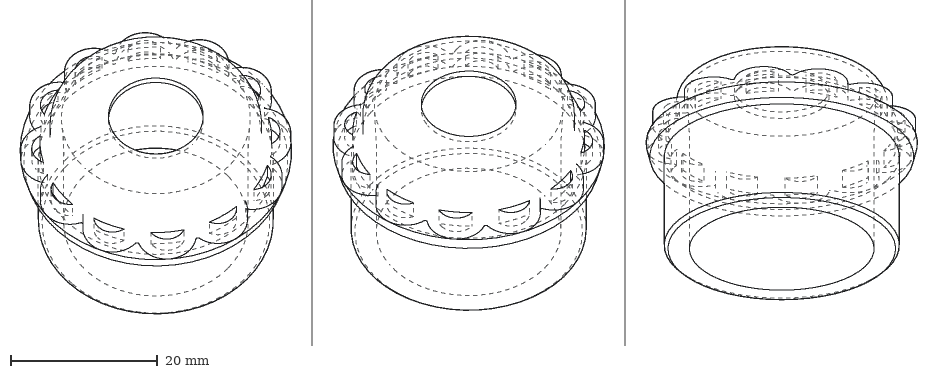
import cadquery as cq
import math

height = 24.5
flange_bottom_z = 14.0
flange_top_z = 16.1
ring_top_z = 18.65

sleeve_radius = 32.0 / 2
flange_bottom_radius = 17.95
flange_top_radius = 18.48
cap_radius = 28.8 / 2
hole_radius = 12.9 / 2

sleeve_chamfer = 0.5
cap_foot_fillet = 0.5
cap_round = 2.5
lobe_round = 0.25
notch_fillet = 0.3

dish_angle = math.radians(4.6)

lobe_count = 12
lobe_pitch = 360 / lobe_count
ring_height = ring_top_z - flange_top_z
lobe_centre_radius = 14.4
lobe_radius = 4.03
pocket_radius = 2.55
pocket_inner_radius = 15.78

cavity_radius = 12.55
cavity_straight_z = 17.15
flare_radius = 12.85
cap_wall = 1.0


def polar(radius, angle):
    return radius * math.cos(angle), radius * math.sin(angle)


def make_body():
    """Revolve the sleeve, the tapered flange and the rounded, dished cap."""
    round_centre = (cap_radius - cap_round, height - cap_round)

    def on_round(angle):
        along, up = polar(cap_round, angle)
        return round_centre[0] + along, round_centre[1] + up

    dish_start_angle = math.pi / 2 + dish_angle
    dish_start = on_round(dish_start_angle)
    hole_rim_z = dish_start[1] - (dish_start[0] - hole_radius) * math.tan(dish_angle)
    hole_foot_z = hole_rim_z - cap_wall

    cavity_top_z = hole_foot_z + (flare_radius - hole_radius) * math.tan(dish_angle)

    foot_inset = cap_foot_fillet * (1 - math.sqrt(0.5))
    foot_mid = (cap_radius + foot_inset, ring_top_z + foot_inset)
    return (
        cq.Workplane("XZ")
        .moveTo(cavity_radius, 0)
        .lineTo(sleeve_radius - sleeve_chamfer, 0)
        .lineTo(sleeve_radius, sleeve_chamfer)
        .lineTo(sleeve_radius, flange_bottom_z)
        .lineTo(flange_bottom_radius, flange_bottom_z)
        .lineTo(flange_top_radius, flange_top_z)
        .lineTo(cap_radius + cap_foot_fillet, flange_top_z)
        .lineTo(cap_radius + cap_foot_fillet, ring_top_z)
        .threePointArc(foot_mid, (cap_radius, ring_top_z + cap_foot_fillet))
        .lineTo(cap_radius, height - cap_round)
        .threePointArc(on_round(dish_start_angle / 2), dish_start)
        .lineTo(hole_radius, hole_rim_z)
        .lineTo(hole_radius, hole_foot_z)
        .lineTo(flare_radius, cavity_top_z)
        .lineTo(cavity_radius, cavity_straight_z)
        .close()
        .revolve(360, (0, 0, 0), (0, 1, 0))
    )


def on_flange():
    """Workplane on the upper face of the flange."""
    return cq.Workplane("XY", origin=(0, 0, flange_top_z))


def make_scalloped_ring():
    """Trace lobe arcs joined by notch fillets, round the top edge and sink the pockets."""
    half_pitch = math.radians(lobe_pitch / 2)
    lobe_x, lobe_y = polar(lobe_centre_radius, half_pitch)
    centre_gap = lobe_radius + notch_fillet
    notch_centre_radius = lobe_x + math.sqrt(centre_gap**2 - lobe_y**2)
    notch_bottom_radius = notch_centre_radius - notch_fillet
    share = notch_fillet / centre_gap
    touch_x = notch_centre_radius + share * (lobe_x - notch_centre_radius)
    touch_y = share * lobe_y
    touch_radius = math.hypot(touch_x, touch_y)
    touch_angle = math.atan2(touch_y, touch_x)

    outline = on_flange().moveTo(*polar(touch_radius, -touch_angle))
    for index in range(lobe_count):
        notch = index * 2 * half_pitch
        next_notch = notch + 2 * half_pitch
        outline = outline.threePointArc(
            polar(notch_bottom_radius, notch), polar(touch_radius, notch + touch_angle)
        ).threePointArc(
            polar(lobe_centre_radius + lobe_radius, notch + half_pitch),
            polar(touch_radius, next_notch - touch_angle),
        )
    ring = outline.close().extrude(ring_height).faces(">Z").edges().fillet(lobe_round)

    pocket_core = on_flange().circle(pocket_inner_radius).extrude(ring_height)
    pockets = (
        on_flange()
        .polarArray(lobe_centre_radius, lobe_pitch / 2, 360, lobe_count)
        .circle(pocket_radius)
        .extrude(ring_height)
        .cut(pocket_core)
    )
    cap_clearance = on_flange().circle(cap_radius).extrude(ring_height)
    return ring.cut(pockets).cut(cap_clearance)


result = make_body().union(make_scalloped_ring())